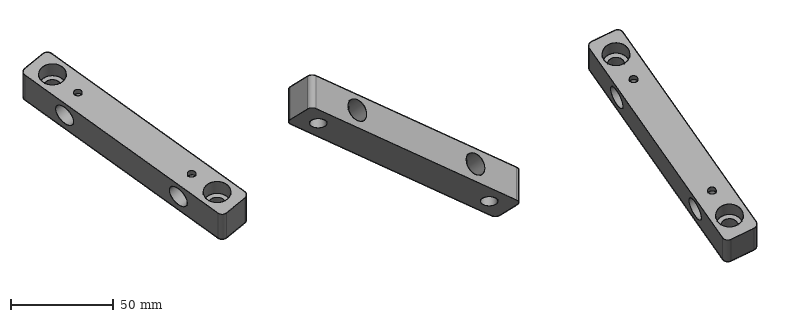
import cadquery as cq

length = 135.0
width = 19.0
height = 19.0
corner_radius = 3.0

mount_spacing = 110.0
mount_diameter = 8.5
counterbore_diameter = 13.5
counterbore_depth = 9.0

cross_spacing = 76.0
cross_diameter = 12.0
cross_height = 10.0
screw_diameter = 4.2


def mirrored_pair(spacing):
    """Return the two points on the X axis, evenly spaced about the middle."""
    return [(-spacing / 2, 0), (spacing / 2, 0)]


def make_bar():
    """Block with rounded vertical edges."""
    block = cq.Workplane("XY").box(length, width, height, centered=(True, True, False))
    return block.edges("|Z").fillet(corner_radius)


def cut_mounting_holes(bar):
    """Cut the vertical through holes with counterbores in the top face."""
    return (
        bar.faces(">Z")
        .workplane(origin=(0, 0, height))
        .pushPoints(mirrored_pair(mount_spacing))
        .cboreHole(mount_diameter, counterbore_diameter, counterbore_depth)
    )


def cut_cross_bores(bar):
    """Cut the horizontal bores through the full width."""
    bores = (
        cq.Workplane("XZ", origin=(0, 0, cross_height))
        .pushPoints(mirrored_pair(cross_spacing))
        .circle(cross_diameter / 2)
        .extrude(width / 2, both=True)
    )
    return bar.cut(bores)


def cut_screw_holes(bar):
    """Cut the small holes from the top face down into the cross bores."""
    screws = (
        cq.Workplane("XY", origin=(0, 0, cross_height))
        .pushPoints(mirrored_pair(cross_spacing))
        .circle(screw_diameter / 2)
        .extrude(height - cross_height)
    )
    return bar.cut(screws)


result = cut_screw_holes(cut_cross_bores(cut_mounting_holes(make_bar())))